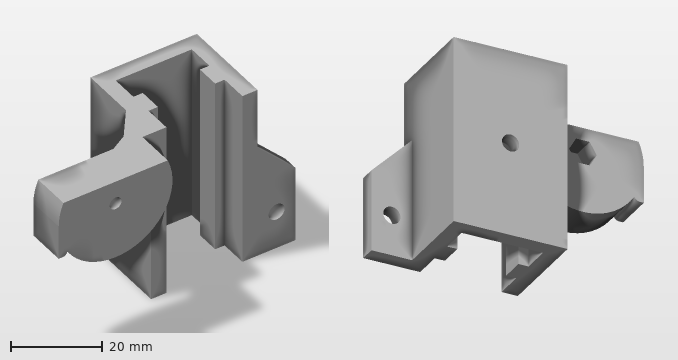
import cadquery as cq
import math

channel_depth = 24.0
channel_width = 28.0
height = 46.0
wall = 4.0
wall_hole_diameter = 4.2

rail_start = 11.0
rail_width = 6.0
rail_projection = 2.5

tab_length = 10.0
tab_end_height = 20.0
tab_hole_diameter = 4.2
tab_hole_height = 10.0

disc_radius = 15.0
disc_thickness = 10.0
pivot_y = -16.0
pivot_drop = 6.0
pivot_z = height - pivot_drop
pivot_diameter = 3.2
nut_across_flats = 5.85
nut_pocket_depth = 6.0

lip_width = 2.35
lip_drop = 9.0
lip_radius = 1.4

gusset_height = 12.0
gusset_start_x = 14.1
gusset_bend = (21.5, -5.6)
gusset_end_y = -9.95


def block(x, y, z, length, width, tall):
    """Box placed by its lowest corner."""
    return cq.Workplane("XY").box(length, width, tall, centered=False).translate((x, y, z))


def rod(x, y, z, diameter, length):
    """Cylinder along +X starting at the given centre."""
    return cq.Workplane("YZ", origin=(x, y, z)).circle(diameter / 2).extrude(length)


def make_channel():
    channel = block(0, 0, 0, channel_depth, channel_width, height)
    inner_width = channel_width - 2 * wall
    channel = channel.cut(block(wall, wall, 0, channel_depth - wall, inner_width, height))
    for rail_y in (wall, channel_width - wall - rail_projection):
        channel = channel.union(block(rail_start, rail_y, 0, rail_width, rail_projection, height))
    return channel.cut(rod(0, channel_width / 2, height / 2, wall_hole_diameter, wall))


def make_tab():
    root_y = channel_width - wall
    end_y = channel_width + tab_length
    tab_x = channel_depth - wall
    tab = (
        cq.Workplane("YZ", origin=(tab_x, 0, 0))
        .moveTo(root_y, 0)
        .lineTo(end_y, 0)
        .lineTo(end_y, tab_end_height)
        .lineTo(channel_width, tab_end_height + tab_length)
        .lineTo(root_y, tab_end_height + tab_length)
        .close()
        .extrude(wall)
    )
    hole_y = channel_width + tab_length / 2
    return tab.cut(rod(tab_x, hole_y, tab_hole_height, tab_hole_diameter, wall))


def make_gusset():
    return (
        cq.Workplane("XY", origin=(0, 0, height - gusset_height))
        .moveTo(gusset_start_x, wall)
        .lineTo(gusset_start_x, 0)
        .lineTo(*gusset_bend)
        .lineTo(channel_depth, gusset_end_y)
        .lineTo(channel_depth, wall)
        .close()
        .extrude(gusset_height)
    )


def make_disc():
    disc = rod(channel_depth, pivot_y, pivot_z, 2 * disc_radius, disc_thickness)
    disc = disc.intersect(
        block(channel_depth, pivot_y - disc_radius, 0, disc_thickness, 2 * disc_radius, height)
    )
    lip = block(
        channel_depth, pivot_y - disc_radius, pivot_z - lip_drop, disc_thickness, lip_width, lip_drop
    )
    lip = lip.edges("|X and >Y and <Z").fillet(lip_radius)
    return disc.union(lip)


def make_pivot_cut():
    across_corners = nut_across_flats / math.cos(math.pi / 6)
    pocket = (
        cq.Workplane("YZ", origin=(channel_depth, pivot_y, pivot_z))
        .polygon(6, across_corners)
        .extrude(nut_pocket_depth)
    )
    return pocket.union(rod(channel_depth, pivot_y, pivot_z, pivot_diameter, disc_thickness))


result = make_channel().union(make_tab()).union(make_gusset()).union(make_disc()).cut(make_pivot_cut())